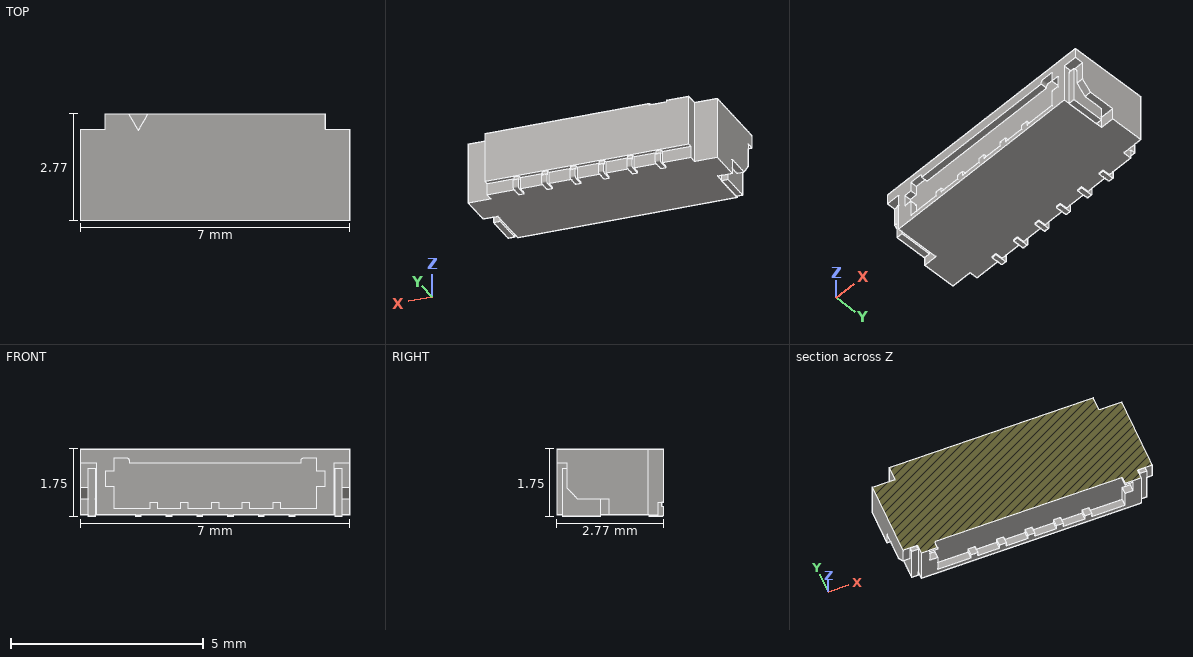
import cadquery as cq
import math


length = 7.0
depth = 2.77
height = 1.75
standoff = 0.04
back_corner_x = 0.64
back_corner_y = 0.4
tail_relief_depth = 0.15
tail_relief_top = 0.365

contact_count = 6
pitch = 0.8
first_contact_x = -pitch * (contact_count - 1) / 2
tail_width = 0.15
tail_inset = 0.04
tail_step_z = 0.26
tail_foot_length = 0.38
tail_bend_radius = 0.05

recess_depth = 0.195
recess_half_width = 2.625
recess_floor = 0.21
recess_corner_top = 1.52
recess_top = 1.39
corner_relief_half_x = 2.225
corner_relief_radius = 0.08
ear_half_width = 2.85
ear_bottom = 0.78
ear_top = 1.18
rib_width = 0.195
rib_height = 0.15

pocket_depth = 0.41
pocket_top = 1.39
pocket_wall_y = 0.26
pocket_slope_top = 0.75
pocket_slope_end_y = 0.545
pocket_ceiling = 0.45
pocket_back_y = 1.35
tab_inset = 0.2
tab_thickness = 0.19
tab_front_y = 0.15
tab_back_y = 1.14
tab_top = 1.245

mark_side = 0.5
mark_height = mark_side * math.sqrt(3) / 2
mark_depth = 0.04


def box(x0, x1, y0, y1, z0, z1):
    """Block between two opposite corners."""
    return cq.Workplane("XY").box(x1 - x0, y1 - y0, z1 - z0, centered=False).translate((x0, y0, z0))


def side_profile(points, x0, width):
    """Prism with a (Y, Z) outline, running along +X from x0."""
    return cq.Workplane("YZ").workplane(offset=x0).polyline(points).close().extrude(width)


def make_housing():
    half = length / 2
    body = box(-half, half, 0, depth, standoff, height)
    for x in (-half, half - back_corner_x):
        body = body.cut(box(x, x + back_corner_x, depth - back_corner_y, depth, 0, height))
    return body.cut(box(-half, half, depth - tail_relief_depth, depth, 0, tail_relief_top))


def make_recess():
    """Stepped opening in the mating face, less the ribs left standing on its floor."""
    main = box(-recess_half_width, recess_half_width, 0, recess_depth, recess_floor, recess_top)
    ears = box(-ear_half_width, ear_half_width, 0, recess_depth, ear_bottom, ear_top)
    recess = main.union(ears)

    for side in (-1, 1):
        x0, x1 = sorted((side * corner_relief_half_x, side * recess_half_width))
        relief = box(x0, x1, 0, recess_depth, recess_top, recess_corner_top)
        inner_edge = "<X" if side > 0 else ">X"
        relief = relief.faces(">Z").edges(inner_edge).fillet(corner_relief_radius)
        recess = recess.union(relief)

    for i in range(contact_count - 1):
        x = first_contact_x + (i + 0.5) * pitch - rib_width / 2
        rib = box(x, x + rib_width, 0, recess_depth, recess_floor, recess_floor + rib_height)
        recess = recess.cut(rib)
    return recess


def make_pocket():
    """Pocket at the -X end, open to the end, the front and the underside."""
    outline = [
        (0, 0),
        (0, pocket_top),
        (pocket_wall_y, pocket_top),
        (pocket_wall_y, pocket_slope_top),
        (pocket_slope_end_y, pocket_ceiling),
        (pocket_back_y, pocket_ceiling),
        (pocket_back_y, 0),
    ]
    return side_profile(outline, -length / 2, pocket_depth)


def make_tab():
    """Solder tab at the -X end, bearing against the walls of its pocket."""
    outline = [
        (tab_front_y, 0),
        (tab_front_y, tab_top),
        (pocket_wall_y, tab_top),
        (pocket_wall_y, pocket_slope_top),
        (pocket_slope_end_y, pocket_ceiling),
        (tab_back_y, pocket_ceiling),
        (tab_back_y, 0),
    ]
    return side_profile(outline, -length / 2 + tab_inset, tab_thickness)


def make_tail(x):
    """Solder tail filling the rear relief, with a foot running forward under the housing."""
    relief_y = depth - tail_relief_depth
    outline = [
        (depth - tail_foot_length, 0),
        (depth, 0),
        (depth, tail_step_z),
        (depth - tail_inset, tail_step_z),
        (depth - tail_inset, tail_relief_top),
        (relief_y, tail_relief_top),
        (relief_y, standoff),
        (depth - tail_foot_length, standoff),
    ]
    tail = side_profile(outline, x - tail_width / 2, tail_width)
    return tail.faces("<Z").edges(">Y").fillet(tail_bend_radius)


def make_mark():
    """Triangular sinking in the top, on the rear edge above contact 1."""
    corners = [
        (first_contact_x - mark_side / 2, depth),
        (first_contact_x + mark_side / 2, depth),
        (first_contact_x, depth - mark_height),
    ]
    base = cq.Workplane("XY").workplane(offset=height - mark_depth)
    return base.polyline(corners).close().extrude(mark_depth)


pocket = make_pocket()
tab = make_tab()

result = make_housing().cut(make_recess()).cut(make_mark())
result = result.cut(pocket).cut(pocket.mirror("YZ"))
result = result.union(tab).union(tab.mirror("YZ"))
for i in range(contact_count):
    result = result.union(make_tail(first_contact_x + i * pitch))